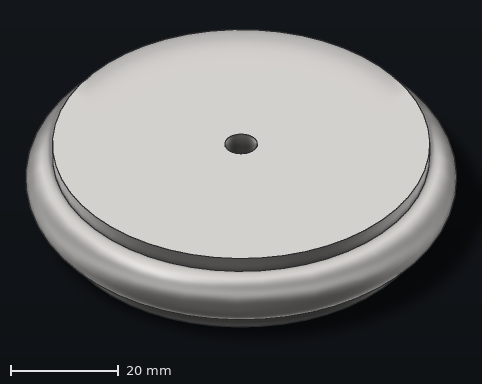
import cadquery as cq

outer_diameter = 80.0
disc_diameter = 70.0
thickness = 16.0
bore_diameter = 6.0

disc_radius = disc_diameter / 2
outer_radius = outer_diameter / 2
bore_radius = bore_diameter / 2
bead_radius = outer_radius - disc_radius
half_thickness = thickness / 2

half_section = (
    cq.Workplane("XZ")
    .moveTo(bore_radius, -half_thickness)
    .lineTo(disc_radius, -half_thickness)
    .lineTo(disc_radius, -bead_radius)
    .threePointArc((outer_radius, 0), (disc_radius, bead_radius))
    .lineTo(disc_radius, half_thickness)
    .lineTo(bore_radius, half_thickness)
    .close()
)

result = half_section.revolve(360, (0, 0, 0), (0, 1, 0))